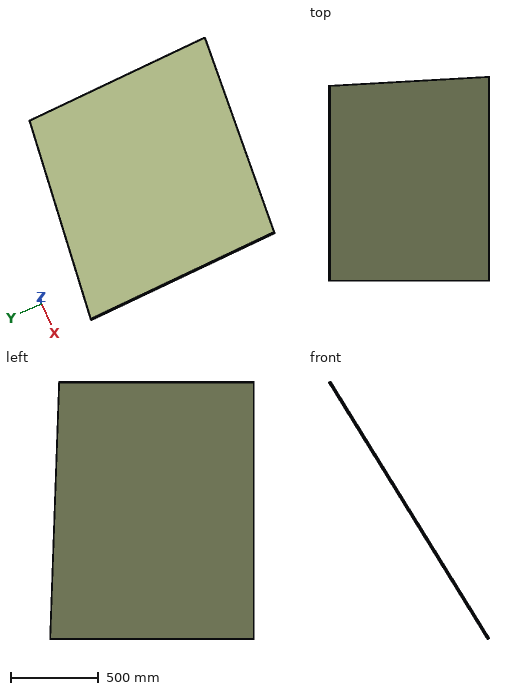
import cadquery as cq
import math

size_x = 911.0
size_y = 1160.0
size_z = 1465.0

end_run = 9.0
end_rise = (size_z - math.sqrt(size_z**2 - 4 * end_run * (size_x - end_run))) / 2

top_edge_inset = 51.0


def tilted_plate():
    """Thin rectangular section in XZ, extruded along +Y."""
    corners = [
        (0, size_z - end_rise),
        (end_run, size_z),
        (size_x, end_rise),
        (size_x - end_run, 0),
    ]
    return cq.Workplane("XZ").polyline(corners).close().extrude(-size_y)


def edge_taper():
    """Wedge removed along the +Y edge, widest at the top."""
    return (
        cq.Workplane("YZ")
        .polyline([(size_y, 0), (size_y, size_z), (size_y - top_edge_inset, size_z)])
        .close()
        .extrude(size_x)
    )


result = tilted_plate().cut(edge_taper())